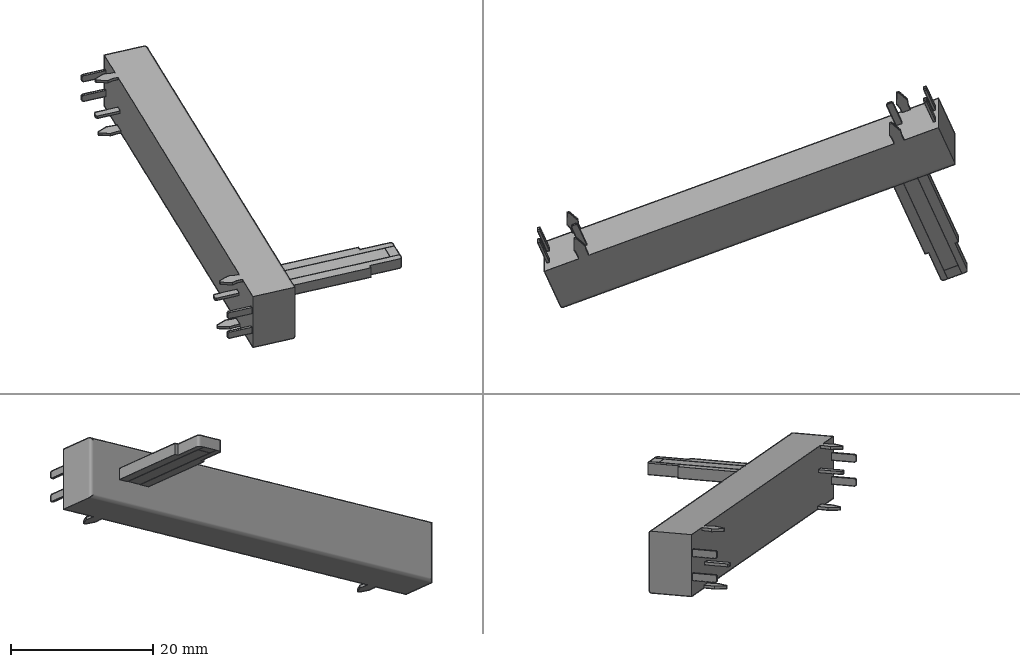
import cadquery as cq

length, depth, height = 60, 6.5, 9
back_edge_radius = 0.5

lever_x = 22.45
lever_length, lever_width, lever_thickness = 18, 5.1, 1.7
neck_length, neck_width = 4.85, 4.0
tip_radius = 0.4
groove_width, groove_depth = 2.15, 0.035
groove_end_length = 1.45
groove_end_depth = groove_depth / 2

sheet = 0.4
pin_length = 3.6
pin_tip_chamfer = 0.2
end_pin_thickness = 0.35
end_pin_width = 1.1
end_pin_x = length / 2 - 0.6
end_pin_z = 1.75
inner_pin_width = 0.95
inner_pin_x = length / 2 - 6
inner_pin_z = 0.99
leg_length, leg_barb_width = 3.1, 1.7
upper_leg_neck_width, lower_leg_neck_width = 1.25, 1.5
leg_tip_width = 0.3
leg_barb_y = 1.55
upper_leg_x = length / 2 - 4.9
lower_leg_x = length / 2 - 6
leg_z = (height - sheet) / 2
embed = 0.3


def make_housing():
    block = cq.Workplane("XY").box(length, depth, height).translate((0, depth / 2, 0))
    return block.faces(">Y").edges().fillet(back_edge_radius)


def make_lever():
    tip_y = depth + lever_length
    shaft_length = lever_length - neck_length
    shaft = (
        cq.Workplane("XY")
        .box(lever_width, shaft_length + embed, lever_thickness)
        .translate((0, depth + (shaft_length - embed) / 2, 0))
    )
    neck = (
        cq.Workplane("XY")
        .box(neck_width, neck_length + embed, lever_thickness)
        .translate((0, tip_y - (neck_length + embed) / 2, 0))
        .faces(">Y").edges("|Z").fillet(tip_radius)
    )
    lever = shaft.union(neck)
    surface = lever_thickness / 2
    step_y = tip_y - groove_end_length
    for side in (1, -1):
        end_floor = side * (surface - groove_end_depth)
        floor = side * (surface - groove_depth)
        profile = [
            (depth, side * surface), (tip_y, side * surface), (tip_y, end_floor),
            (step_y, end_floor), (step_y, floor), (depth, floor),
        ]
        groove = cq.Workplane("YZ").polyline(profile).close().extrude(groove_width / 2, both=True)
        lever = lever.cut(groove)
    return lever.translate((lever_x, 0, 0))


def make_pin(x_size, z_size, tip_edges):
    """Straight pin pointing to -Y with the chosen pair of tip edges chamfered."""
    return (
        cq.Workplane("XY")
        .box(x_size, pin_length + embed, z_size)
        .translate((0, (embed - pin_length) / 2, 0))
        .faces("<Y").edges(tip_edges).chamfer(pin_tip_chamfer)
    )


def make_snap_leg(neck_width):
    """Flat leg that widens to two barbs and tapers to a narrow tip."""
    neck = neck_width / 2
    tip = leg_tip_width / 2
    barb = leg_barb_width / 2
    outline = [
        (-neck, embed), (-neck, -leg_barb_y / 2), (-barb, -leg_barb_y), (-tip, -leg_length),
        (tip, -leg_length), (barb, -leg_barb_y), (neck, -leg_barb_y / 2), (neck, embed),
    ]
    return cq.Workplane("XY").polyline(outline).close().extrude(sheet / 2, both=True)


result = make_housing().union(make_lever())

end_pin = make_pin(end_pin_thickness, end_pin_width, "|X")
inner_pin = make_pin(inner_pin_width, sheet, "|Z")
upper_leg = make_snap_leg(upper_leg_neck_width)
lower_leg = make_snap_leg(lower_leg_neck_width)
for side in (-1, 1):
    for level in (-1, 1):
        result = result.union(end_pin.translate((side * end_pin_x, 0, level * end_pin_z)))
    result = result.union(inner_pin.translate((side * inner_pin_x, 0, side * inner_pin_z)))
    result = result.union(upper_leg.translate((side * upper_leg_x, 0, leg_z)))
    result = result.union(lower_leg.translate((side * lower_leg_x, 0, -leg_z)))